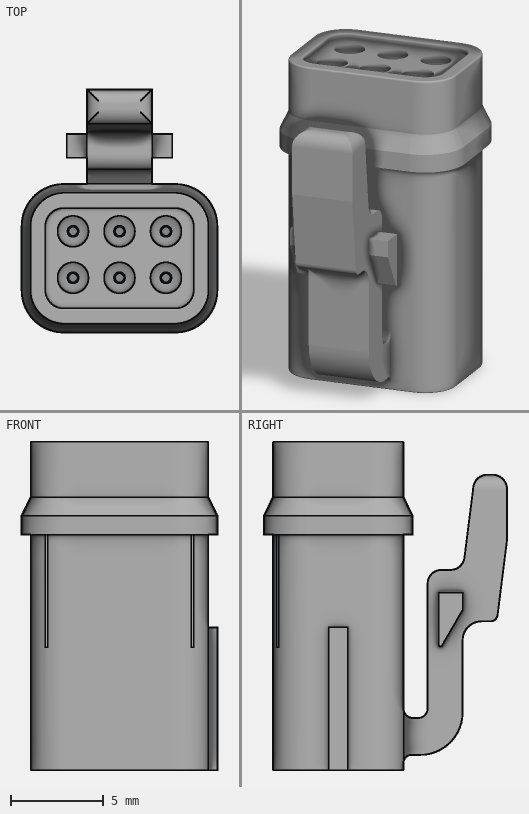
import cadquery as cq
import math

body_height = 17.7
body_length = 9.58
body_width = 7.04
body_corner_radius = 1.8
body_edge_fillet = 0.1

collar_overhang = 0.485
collar_bottom = 12.7
collar_band_height = 1.0
collar_shoulder_height = 1.0
collar_length = body_length + 2 * collar_overhang
collar_width = body_width + 2 * collar_overhang

recess_length = 8.0
recess_width = 5.4
recess_corner_radius = 1.0
recess_depth = 0.3
recess_rim_radius = 0.1
rim_margin = 0.05

hole_columns = 3
hole_rows = 2
hole_pitch = 2.5
hole_row_offset = 0.2
hole_diameter = 1.67
hole_straight_depth = 0.4
funnel_top_diameter = 1.45
funnel_bottom_diameter = 0.6
funnel_depth = 0.1
pin_recess_diameter = 0.5
pin_recess_depth = 0.1

thin_rib_thickness = 0.15
thin_rib_x = 3.93
thin_rib_bottom = 6.62
thin_rib_front_y = -3.3
thin_rib_depth = 0.5

key_rib_height = 7.7
key_rib_width = 1.0

latch_width = 3.5
latch_embed = 0.5
arm_inner_y = 4.8
arm_outer_y = 6.7
arm_bottom = 0.83
arm_bend_radius = 2.3
slot_floor = 2.83
slot_radius = 0.5
root_fillet = 0.4
root_overrun = 0.02
step_top = 10.8
step_radius = 0.75
lever_bottom = 8.02
lever_under_radius = 1.0
lever_toe_radius = 0.4
lever_outer_y = 9.09
lever_knee_z = 12.4
lever_lean = math.tan(math.radians(7.2))
lever_tip_z = 15.93
lever_tip_radius = 0.8
tip_rounding_gap = 0.001
lever_tip_thickness = 1.84

lug_span = 5.7
lug_inner_y = 5.4
lug_top = 9.57
lug_outer_height = 0.92
lug_slope = math.radians(30)
lug_tip_radius = 0.1


def rounded_block(length, width, radius, bottom, height):
    """Rectangular block with rounded vertical corners."""
    block = cq.Workplane("XY").workplane(offset=bottom).rect(length, width).extrude(height)
    return block.edges("|Z").fillet(radius)


def make_body():
    body = rounded_block(body_length, body_width, body_corner_radius, 0, body_height)
    return body.faces("<Z or >Z").edges().fillet(body_edge_fillet)


def make_collar():
    radius = body_corner_radius + collar_overhang
    height = collar_band_height + collar_shoulder_height
    collar = rounded_block(collar_length, collar_width, radius, collar_bottom, height)
    return collar.faces(">Z").edges().chamfer(collar_shoulder_height, collar_overhang)


def cut_recess(part):
    recess = rounded_block(
        recess_length, recess_width, recess_corner_radius, body_height - recess_depth, recess_depth
    )
    part = part.cut(recess)
    rim = cq.selectors.BoxSelector(
        (-recess_length / 2 - rim_margin, -recess_width / 2 - rim_margin, body_height - rim_margin),
        (recess_length / 2 + rim_margin, recess_width / 2 + rim_margin, body_height + rim_margin),
        boundingbox=True,
    )
    return part.edges(rim).fillet(recess_rim_radius)


def make_contact_holes():
    """Straight entry with a narrow ledge, shallow funnel, small tapered pin recess."""
    floor = body_height - recess_depth
    funnel_top = floor - hole_straight_depth
    funnel_bottom = funnel_top - funnel_depth
    pin_bottom = funnel_bottom - pin_recess_depth
    hole = (
        cq.Workplane("XZ")
        .moveTo(0, floor)
        .lineTo(hole_diameter / 2, floor)
        .lineTo(hole_diameter / 2, funnel_top)
        .lineTo(funnel_top_diameter / 2, funnel_top)
        .lineTo(funnel_bottom_diameter / 2, funnel_bottom)
        .lineTo(pin_recess_diameter / 2, pin_bottom)
        .lineTo(0, pin_bottom)
        .close()
        .revolve(360, (0, 0), (0, 1))
        .val()
    )
    return (
        cq.Workplane("XY")
        .center(0, hole_row_offset)
        .rarray(hole_pitch, hole_pitch, hole_columns, hole_rows)
        .eachpoint(lambda location: hole.moved(location))
    )


def make_thin_ribs():
    return (
        cq.Workplane("XY")
        .workplane(offset=thin_rib_bottom)
        .pushPoints([(-thin_rib_x, thin_rib_front_y), (thin_rib_x, thin_rib_front_y)])
        .box(
            thin_rib_thickness,
            thin_rib_depth,
            collar_bottom - thin_rib_bottom,
            centered=(True, False, False),
        )
    )


def make_key_rib():
    return cq.Workplane("XY").box(
        collar_length / 2, key_rib_width, key_rib_height, centered=(False, True, False)
    )


def make_latch():
    """Side profile with sharp corners, extruded across X, then rounded."""
    wall_y = body_width / 2
    embed_y = wall_y - latch_embed
    root_low_z = arm_bottom - root_fillet - root_overrun
    root_high_z = slot_floor + slot_radius + root_overrun
    tip_edge_z = lever_tip_z - lever_tip_radius
    tip_inner_y = lever_outer_y - lever_tip_thickness
    toe_y = lever_outer_y - (lever_knee_z - lever_bottom) * lever_lean
    step_y = tip_inner_y - (tip_edge_z - step_top) * lever_lean
    profile = [
        (embed_y, root_low_z),
        (wall_y, root_low_z),
        (wall_y, arm_bottom),
        (arm_outer_y, arm_bottom),
        (arm_outer_y, lever_bottom),
        (toe_y, lever_bottom),
        (lever_outer_y, lever_knee_z),
        (lever_outer_y, tip_edge_z),
        (tip_inner_y, tip_edge_z),
        (step_y, step_top),
        (arm_inner_y, step_top),
        (arm_inner_y, slot_floor),
        (wall_y, slot_floor),
        (wall_y, root_high_z),
        (embed_y, root_high_z),
    ]
    rounded_corners = [
        (wall_y, arm_bottom, root_fillet),
        (arm_outer_y, arm_bottom, arm_bend_radius),
        (arm_outer_y, lever_bottom, lever_under_radius),
        (toe_y, lever_bottom, lever_toe_radius),
        (step_y, step_top, step_radius),
        (arm_inner_y, step_top, step_radius),
        (arm_inner_y, slot_floor, slot_radius),
        (wall_y, slot_floor, slot_radius),
    ]
    arm = cq.Workplane("YZ").polyline(profile).close().extrude(latch_width / 2, both=True)
    for corner_y, corner_z, radius in rounded_corners:
        corner = cq.selectors.NearestToPointSelector((0, corner_y, corner_z))
        arm = arm.edges("|X").edges(corner).fillet(radius)

    tip = (
        cq.Workplane("XY")
        .workplane(offset=tip_edge_z)
        .center(0, lever_outer_y - lever_tip_thickness / 2)
        .rect(latch_width, lever_tip_thickness)
        .extrude(lever_tip_radius)
        .faces(">Z")
        .edges()
        .fillet(lever_tip_radius - tip_rounding_gap)
    )
    return arm.union(tip)


def make_lugs():
    lug_depth = arm_outer_y - lug_inner_y
    slope_start = lug_top - lug_outer_height
    slope_end = slope_start - lug_depth / math.tan(lug_slope)
    return (
        cq.Workplane("YZ")
        .moveTo(arm_outer_y, lug_top)
        .lineTo(arm_outer_y, slope_start)
        .lineTo(lug_inner_y, slope_end)
        .lineTo(lug_inner_y, lug_top)
        .close()
        .extrude(lug_span / 2, both=True)
        .edges("|X and <Z")
        .fillet(lug_tip_radius)
    )


housing = make_body().union(make_collar()).union(make_thin_ribs()).union(make_key_rib())
housing = cut_recess(housing).cut(make_contact_holes())
result = housing.union(make_latch()).union(make_lugs())